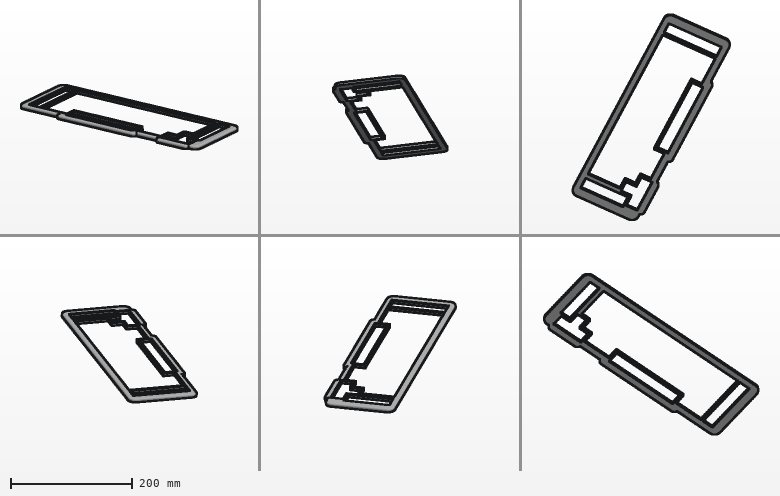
import cadquery as cq
import math

length = 372.0
depth = 124.5
thickness = 6.0
edge_round = 3.0
tilt_angle = 3.0
corner_radius = 12.0

tab_depth = 5.5
tab_radius = 8.0
space_tab = (82.2, 247.0)
arrow_tab = (288.8, 355.8)

main_columns = 15
main_rows = 5
main_width = 286.0
key = main_width / main_columns
key_gap = key / 4
clearance = 0.5
wall = key_gap - 2 * clearance
opening_bevel = 1.0

side_left = 16.7
side_right = side_left + key
main_left = side_right + key_gap
main_right = main_left + main_width
main_front = 17.5
main_back = main_front + main_rows * key

number_rows = 4
number_left = main_right + 2 * key_gap
number_right = number_left + key
number_front = main_back - number_rows * key

space_offset_keys = 3
arrow_offset_keys = 13.25
arrow_columns = 3
space_width = 134.5
space_left = main_left + space_offset_keys * key
space_right = space_left + space_width
arrow_left = main_left + arrow_offset_keys * key
arrow_right = arrow_left + arrow_columns * key
lower_front = main_front - key_gap
lower_back = lower_front + key


def draw_tab(outline, left, right):
    """Continue the front edge around a tab whose outer corners are rounded."""
    turn = math.acos(1 - tab_depth / tab_radius)
    run = tab_radius * math.sin(turn)
    half_run = run - tab_radius * math.sin(turn / 2)
    half_drop = tab_radius * (1 - math.cos(turn / 2))
    return (
        outline.lineTo(left, tab_depth)
        .threePointArc((left + half_run, half_drop), (left + run, 0))
        .lineTo(right - run, 0)
        .threePointArc((right - half_run, half_drop), (right, tab_depth))
    )


def make_plate():
    """Rounded plate with front tabs and a rounded upper outer edge."""
    r = corner_radius
    inset = r * (1 - math.sqrt(0.5))
    outline = cq.Workplane("XY").moveTo(r, tab_depth)
    for left, right in (space_tab, arrow_tab):
        outline = draw_tab(outline, left, right)
    outline = (
        outline.lineTo(length - r, tab_depth)
        .threePointArc((length - inset, tab_depth + inset), (length, tab_depth + r))
        .lineTo(length, depth - r)
        .threePointArc((length - inset, depth - inset), (length - r, depth))
        .lineTo(r, depth)
        .threePointArc((inset, depth - inset), (0, depth - r))
        .lineTo(0, tab_depth + r)
        .threePointArc((inset, tab_depth + inset), (r, tab_depth))
        .close()
    )
    return outline.extrude(thickness).faces(">Z").edges().fillet(edge_round)


def block(left, front, right, back, margin=clearance):
    """Full-height block over a field of keys, grown by a margin on every side."""
    return (
        cq.Workplane("XY")
        .moveTo(left - margin, front - margin)
        .lineTo(right + margin, front - margin)
        .lineTo(right + margin, back + margin)
        .lineTo(left - margin, back + margin)
        .close()
        .extrude(thickness)
    )


def arrow_block(margin=clearance):
    """Inverted T of four arrow keys."""
    row = block(arrow_left, lower_front, arrow_right, lower_back, margin)
    up_key = block(arrow_left + key, lower_front, arrow_right - key, lower_back + key, margin)
    return row.union(up_key)


def space_block(margin=clearance):
    """Block over the space bar."""
    return block(space_left, lower_front, space_right, lower_back, margin)


def main_block():
    """Main key field, stepped around the space and arrow openings."""
    field = block(main_left, main_front, main_right, main_back)
    return field.cut(space_block(clearance + wall)).cut(arrow_block(clearance + wall))


def bevel_openings(plate):
    """Bevel the rim of every opening where it meets the top surface."""
    rims = plate.faces(">Z").val().innerWires()
    rim_edges = [edge for rim in rims for edge in rim.Edges()]
    beveled = plate.val().chamfer(opening_bevel, None, rim_edges)
    return cq.Workplane(beveled)


openings = (
    block(side_left, main_front, side_right, main_back),
    main_block(),
    block(number_left, number_front, number_right, main_back),
    space_block(),
    arrow_block(),
)

plate = make_plate()
for opening in openings:
    plate = plate.cut(opening)
plate = bevel_openings(plate)

result = plate.rotate((0, 0, 0), (1, 0, 0), tilt_angle)